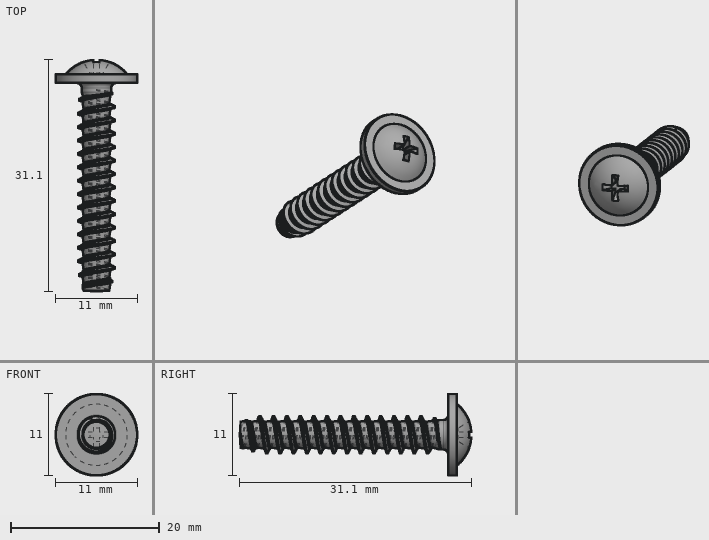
import cadquery as cq
import math


flange_diameter = 11.0
flange_thickness = 1.2
flange_edge_chamfer = 0.06
dome_base_diameter = 8.25
dome_height = 1.95

recess_slot_width = 0.8
recess_mouth_depth = 0.3
recess_depth = 1.8
recess_floor_radius = 0.9

shank_length = 28.0
tip_cone_height = 0.12
tip_edge = shank_length - tip_cone_height
tip_radius = 1.75
core_radius = 1.77
neck_radius = 2.0
neck_fillet = 0.65
neck_end = 1.2
neck_cone_end = 1.95

thread_radius = 2.5
thread_pitch = 1.8
first_crest = 1.41
crest_half_width = 0.06
section_base_radius = 1.6
head_foot_radius = 1.86
head_foot_width = 0.38
tip_foot_radius = 1.9
tip_foot_width = 0.22
swell_edge_radius = 1.75
swell_head_width = 0.58
swell_tip_width = 1.15

full_thread_start = 2.65
full_thread_end = 25.35
ramp_length = 2.2
ramp_drop = 0.64

swell_start = 1.0
swell_fade_start = 26.8


def make_head():
    flange_radius = flange_diameter / 2
    flange = (
        cq.Workplane("XY")
        .circle(flange_radius)
        .extrude(-flange_thickness)
        .edges()
        .chamfer(flange_edge_chamfer)
    )
    base_radius = dome_base_diameter / 2
    dome_top = -flange_thickness - dome_height
    sphere_radius = (base_radius**2 + dome_height**2) / (2 * dome_height)
    half_angle = math.asin(base_radius / sphere_radius) / 2
    arc_middle = (
        sphere_radius * math.sin(half_angle),
        dome_top + sphere_radius * (1 - math.cos(half_angle)),
    )
    dome = (
        cq.Workplane("XZ")
        .moveTo(0, dome_top)
        .threePointArc(arc_middle, (base_radius, -flange_thickness))
        .lineTo(base_radius, -flange_thickness / 2)
        .lineTo(0, -flange_thickness / 2)
        .close()
        .revolve(360, (0, 0, 0), (0, 1, 0))
    )
    head = flange.union(dome)

    mouth_radius = math.sqrt(2 * sphere_radius * recess_mouth_depth - recess_mouth_depth**2)
    wing = (
        cq.Workplane("XZ")
        .moveTo(-mouth_radius, dome_top)
        .lineTo(mouth_radius, dome_top)
        .lineTo(mouth_radius, dome_top + recess_mouth_depth)
        .lineTo(recess_floor_radius, dome_top + recess_depth)
        .lineTo(-recess_floor_radius, dome_top + recess_depth)
        .lineTo(-mouth_radius, dome_top + recess_mouth_depth)
        .close()
        .extrude(recess_slot_width / 2, both=True)
    )
    for wing_angle in (0, 90):
        head = head.cut(wing.rotate((0, 0, 0), (0, 0, 1), wing_angle))
    return head


def make_core():
    fillet_offset = neck_fillet * (1 - math.sqrt(0.5))
    return (
        cq.Workplane("XZ")
        .moveTo(0, -flange_thickness / 2)
        .lineTo(neck_radius + neck_fillet, -flange_thickness / 2)
        .lineTo(neck_radius + neck_fillet, 0)
        .threePointArc((neck_radius + fillet_offset, fillet_offset), (neck_radius, neck_fillet))
        .lineTo(neck_radius, neck_end)
        .lineTo(core_radius, neck_cone_end)
        .lineTo(tip_radius, tip_edge)
        .lineTo(0, shank_length)
        .close()
        .revolve(360, (0, 0, 0), (0, 1, 0))
    )


cylinder_angle = 360


def sweep_along_helix(outline, length, cone_angle=cylinder_angle):
    """Sweep an (x, z) outline up a right-hand helix that starts at local +X, z = 0."""
    helix = cq.Wire.makeHelix(thread_pitch, length, core_radius, angle=cone_angle)
    return (
        cq.Workplane("XZ")
        .polyline(outline)
        .close()
        .sweep(cq.Workplane(helix), isFrenet=True)
    )


def place_on_thread(solid, height):
    """Move a swept solid to the given height, turned to follow the thread there."""
    turn = 360 * (height - first_crest) / thread_pitch
    return solid.rotate((0, 0, 0), (0, 0, 1), turn).translate((0, 0, height))


def section_outline(crest_points=()):
    """Outline of the swell, with the fin on it when crest points are given."""
    return [
        (section_base_radius, -swell_head_width),
        (swell_edge_radius, -swell_head_width),
        (head_foot_radius, -head_foot_width),
        *crest_points,
        (tip_foot_radius, tip_foot_width),
        (swell_edge_radius, swell_tip_width),
        (section_base_radius, swell_tip_width),
    ]


def flank_width(foot_radius, foot_width):
    """Half width of the fin where its flank, carried on inwards, meets the section base."""
    slope = (foot_width - crest_half_width) / (thread_radius - foot_radius)
    return crest_half_width + slope * (thread_radius - section_base_radius)


def ramp_outline(tip_direction):
    """Outline of the bare fin, sunk into the core by the ramp drop."""
    base_radius = section_base_radius - ramp_drop
    crest_radius = thread_radius - ramp_drop
    return [
        (base_radius, -flank_width(head_foot_radius, head_foot_width) * tip_direction),
        (crest_radius, -crest_half_width * tip_direction),
        (crest_radius, crest_half_width * tip_direction),
        (base_radius, flank_width(tip_foot_radius, tip_foot_width) * tip_direction),
    ]


def make_full_thread():
    crest_points = [(thread_radius, -crest_half_width), (thread_radius, crest_half_width)]
    length = full_thread_end - full_thread_start
    full_thread = sweep_along_helix(section_outline(crest_points), length)
    return place_on_thread(full_thread, full_thread_start)


def make_ramps():
    """Run-in and run-out of the fin. Both are swept outwards from their sunk end, and the
    run-out is flipped over to face the head."""
    ramp_angle = math.degrees(math.atan(ramp_drop / ramp_length))
    run_in = sweep_along_helix(ramp_outline(1), ramp_length, ramp_angle)
    run_out = sweep_along_helix(ramp_outline(-1), ramp_length, ramp_angle)
    run_out = run_out.rotate((0, 0, 0), (1, 0, 0), 180)
    return [
        place_on_thread(run_in, full_thread_start - ramp_length),
        place_on_thread(run_out, full_thread_end + ramp_length),
    ]


def make_swell_ends():
    """The swell carries on past the full thread, from inside the neck to the plain tip."""
    envelope = (
        cq.Workplane("XZ")
        .moveTo(0, swell_start)
        .lineTo(neck_radius, swell_start)
        .lineTo(neck_radius, swell_fade_start)
        .lineTo(tip_radius, tip_edge)
        .lineTo(0, tip_edge)
        .close()
        .revolve(360, (0, 0, 0), (0, 1, 0))
    )
    stretches = [(0, full_thread_start), (full_thread_end, shank_length + swell_head_width)]
    ends = []
    for start, end in stretches:
        swell = sweep_along_helix(section_outline(), end - start)
        ends.append(place_on_thread(swell, start).intersect(envelope))
    return ends


screw = make_core().union(make_head())
for thread_piece in [make_full_thread(), *make_swell_ends(), *make_ramps()]:
    screw = screw.union(thread_piece)
result = screw.solids().rotate((0, 0, 0), (1, 0, 0), 90)